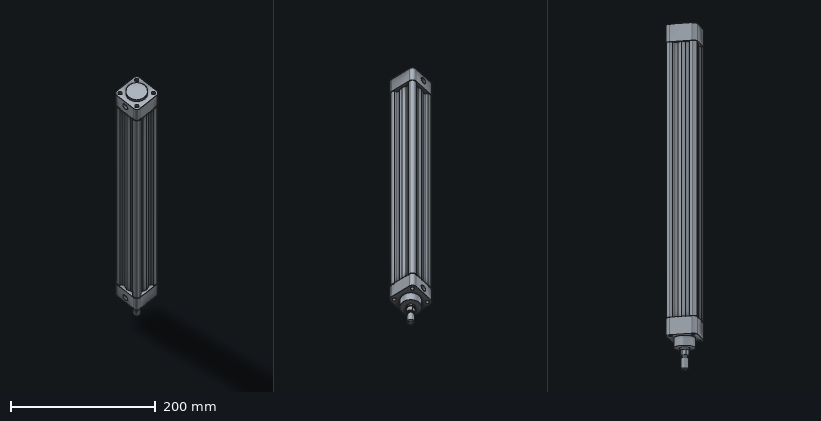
import cadquery as cq
import math

cap_width = 45.0
screw_offset = 16.5
cap_corner_radius = cap_width / 2 - screw_offset
cap_height = 25.0

overall_length = 494.0
rod_length = 31.0
front_boss_height = 14.5
rear_boss_height = 4.0
boss_diameter = 30.0
front_cap_bottom = rod_length + front_boss_height
barrel_bottom = front_cap_bottom + cap_height
rear_cap_top = overall_length - rear_boss_height
rear_cap_bottom = rear_cap_top - cap_height
barrel_length = rear_cap_bottom - barrel_bottom

port_diameter = 9.5
port_depth = 10.0
port_inset = 10.5
screw_hole_diameter = 5.5
screw_hole_depth = 15.0

lobe_radius = 5.5
ridge_height = 19.5
ridge_half_width = 5.5
ridge_slope = math.radians(18)
valley_center = 8.0
valley_floor = 16.5
valley_end = 11.0
valley_end_height = 18.0
shoulder_radius = 8.5
shoulder_angle = math.radians(28)

collar_diameter = 14.0
collar_length = 3.0
shank_diameter = 12.0
width_across_flats = 10.5
shank_bottom = 20.5
relief_diameter = 9.0
thread_top = 17.5
thread_diameter = 10.5
tip_chamfer = 1.5


def cap_block(bottom):
    """Square block with rounded vertical edges."""
    block = cq.Workplane("XY").workplane(offset=bottom).rect(cap_width, cap_width).extrude(cap_height)
    return block.edges("|Z").fillet(cap_corner_radius)


def cylinder(diameter, bottom, top):
    """Cylinder on the Z axis."""
    return cq.Workplane("XY").workplane(offset=bottom).circle(diameter / 2).extrude(top - bottom)


def port(height):
    """Cutter for the air port in the -Y side of a cap."""
    side = cq.Workplane("XZ", origin=(0, -cap_width / 2, height))
    return side.circle(port_diameter / 2).extrude(-port_depth)


def screw_holes(face_height, depth):
    """Cutter for the four corner holes; a negative depth cuts downwards."""
    face = cq.Workplane("XY").workplane(offset=face_height)
    corners = face.rect(2 * screw_offset, 2 * screw_offset, forConstruction=True).vertices()
    return corners.circle(screw_hole_diameter / 2).extrude(depth)


def make_front_cap():
    """Cap at the rod end, with its boss facing down."""
    body = cap_block(front_cap_bottom).union(cylinder(boss_diameter, rod_length, front_cap_bottom))
    body = body.cut(port(front_cap_bottom + port_inset))
    return body.cut(screw_holes(front_cap_bottom, screw_hole_depth))


def make_rear_cap():
    """Cap at the closed end, with its boss facing up."""
    body = cap_block(rear_cap_bottom).union(cylinder(boss_diameter, rear_cap_top, overall_length))
    body = body.cut(port(rear_cap_top - port_inset))
    return body.cut(screw_holes(rear_cap_top, -screw_hole_depth))


def turned(point, quarter_turns):
    """Point turned about the barrel axis by quarter turns."""
    x, y = point
    for _ in range(quarter_turns):
        x, y = -y, x
    return (x, y)


def shoulder_point(angle):
    """Point on the shoulder of the lobe, measured back from the crest."""
    x = screw_offset - shoulder_radius * math.sin(angle)
    y = screw_offset + lobe_radius - shoulder_radius * (1 - math.cos(angle))
    return (x, y)


def mirrored(point):
    """Point mirrored across the middle of a side."""
    return (-point[0], point[1])


def make_barrel():
    """Extruded profile: a rounded lobe on each corner, a ridge between two valleys on each side."""
    crest = shoulder_point(0)
    shoulder_middle = shoulder_point(shoulder_angle / 2)
    lip = shoulder_point(shoulder_angle)
    wall_foot = (valley_end, valley_end_height)
    valley = (valley_center, valley_floor)
    ridge_foot = (ridge_half_width, ridge_height - ridge_half_width * math.tan(ridge_slope))
    ridge_top = (0, ridge_height)
    corner_reach = screw_offset + lobe_radius / math.sqrt(2)
    corner = (corner_reach, corner_reach)

    profile = cq.Workplane("XY").workplane(offset=barrel_bottom).moveTo(*crest)
    for turn in range(4):
        profile = profile.threePointArc(turned(shoulder_middle, turn), turned(lip, turn))
        profile = profile.lineTo(*turned(wall_foot, turn))
        profile = profile.threePointArc(turned(valley, turn), turned(ridge_foot, turn))
        profile = profile.lineTo(*turned(ridge_top, turn))
        profile = profile.lineTo(*turned(mirrored(ridge_foot), turn))
        profile = profile.threePointArc(turned(mirrored(valley), turn), turned(mirrored(wall_foot), turn))
        profile = profile.lineTo(*turned(mirrored(lip), turn))
        profile = profile.threePointArc(turned(mirrored(shoulder_middle), turn), turned(mirrored(crest), turn))
        profile = profile.threePointArc(turned(mirrored(corner), turn), turned(crest, turn + 1))
    return profile.close().extrude(barrel_length)


def make_rod():
    """Rod end: collar, shank with two wrench flats, relief groove and thread."""
    collar_bottom = rod_length - collar_length
    collar = cylinder(collar_diameter, collar_bottom, rod_length)
    flats = cq.Workplane("XY").workplane(offset=shank_bottom).rect(shank_diameter, width_across_flats)
    shank = cylinder(shank_diameter, shank_bottom, collar_bottom)
    shank = shank.intersect(flats.extrude(collar_bottom - shank_bottom))
    relief = cylinder(relief_diameter, thread_top, shank_bottom)
    thread = cylinder(thread_diameter, 0, thread_top).faces("<Z").chamfer(tip_chamfer)
    return collar.union(shank).union(relief).union(thread)


front_cap = make_front_cap()
rear_cap = make_rear_cap()
barrel = make_barrel()
rod = make_rod()

result = cq.Compound.makeCompound([front_cap.val(), rear_cap.val(), barrel.val(), rod.val()])